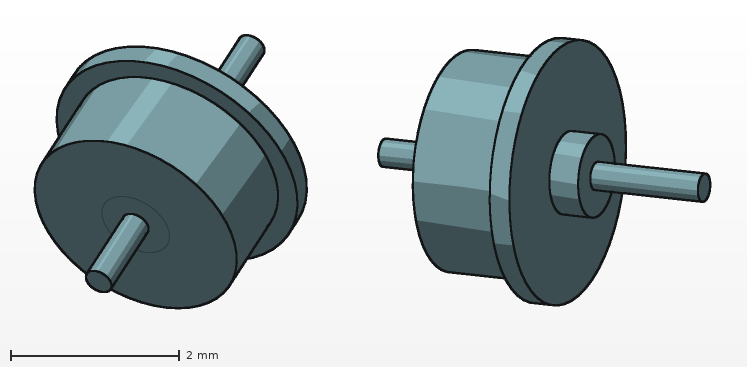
import cadquery as cq

flange_diameter = 3.17
flange_thickness = 0.26
body_diameter = 2.66
body_length = 1.14
bead_diameter = 0.89
boss_diameter = 1.0
boss_length = 0.38
pin_diameter = 0.34
pin_front_length = 1.02
pin_total_length = 4.22

body_front = -body_length
pin_front = body_front - pin_front_length
boss_back = flange_thickness + boss_length


def cylinder_along_y(diameter, start, length):
    """Cylinder about the Y axis, running from Y = start toward +Y."""
    plane = cq.Plane(origin=(0, start, 0), xDir=(0, 0, 1), normal=(0, 1, 0))
    return cq.Workplane(plane).circle(diameter / 2).extrude(length)


flange = cylinder_along_y(flange_diameter, 0, flange_thickness)
body = cylinder_along_y(body_diameter, body_front, body_length)
bead = cylinder_along_y(bead_diameter, body_front, body_length)
boss = cylinder_along_y(boss_diameter, 0, boss_back)
pin = cylinder_along_y(pin_diameter, pin_front, pin_total_length)

shell = flange.union(body).union(boss)
result = shell.union(bead, clean=False).union(pin, clean=False)